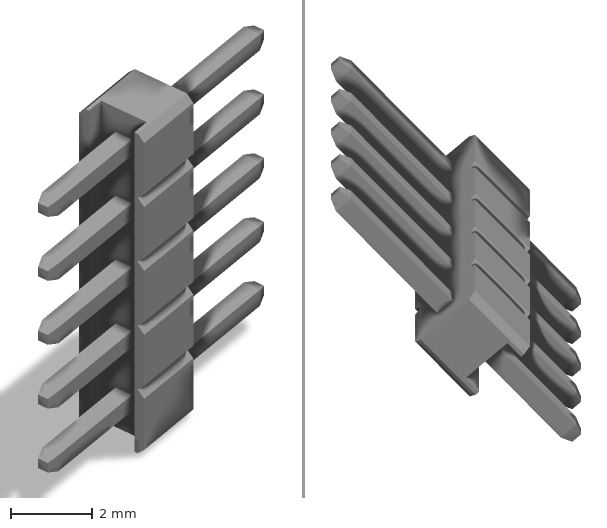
import cadquery as cq

module_count = 5
pitch = 2.0

housing_width = 2.0
housing_depth = 2.0
housing_back_y = 0.4
housing_front_y = housing_back_y - housing_depth
corner_chamfer = 0.2

channel_width = 1.4
channel_depth = 0.5

pin_length = 8.8
pin_side = 0.5
tip_length = 0.3
tip_side = 0.3


def make_housing():
    """Block with its four Y-direction edges chamfered and a channel in the front face."""
    block = (
        cq.Workplane("XY")
        .box(housing_width, housing_depth, pitch)
        .edges("|Y")
        .chamfer(corner_chamfer)
        .translate((0, housing_front_y + housing_depth / 2, 0))
    )
    channel = (
        cq.Workplane("XY")
        .box(channel_width, channel_depth, pitch)
        .translate((0, housing_front_y + channel_depth / 2, 0))
    )
    return block.cut(channel)


def make_tip():
    """Tapered end that runs in +Y from the end of the straight shank."""
    shank_end = pin_length / 2 - tip_length
    return (
        cq.Workplane("XZ", origin=(0, shank_end, 0))
        .rect(pin_side, pin_side)
        .workplane(offset=-tip_length)
        .rect(tip_side, tip_side)
        .loft(ruled=True)
    )


def make_pin():
    """Square shank along Y with a tapered tip at both ends."""
    shank = cq.Workplane("XY").box(pin_side, pin_length - 2 * tip_length, pin_side)
    back_tip = make_tip()
    front_tip = back_tip.mirror("XZ")
    return shank.union(back_tip).union(front_tip)


def make_module():
    """One module: housing and pin as a single solid, centred on Z = 0."""
    return make_housing().union(make_pin())


module = make_module()
modules = []
for index in range(module_count):
    module_z = (index - (module_count - 1) / 2) * pitch
    modules.append(module.translate((0, 0, module_z)).val())

result = cq.Compound.makeCompound(modules)